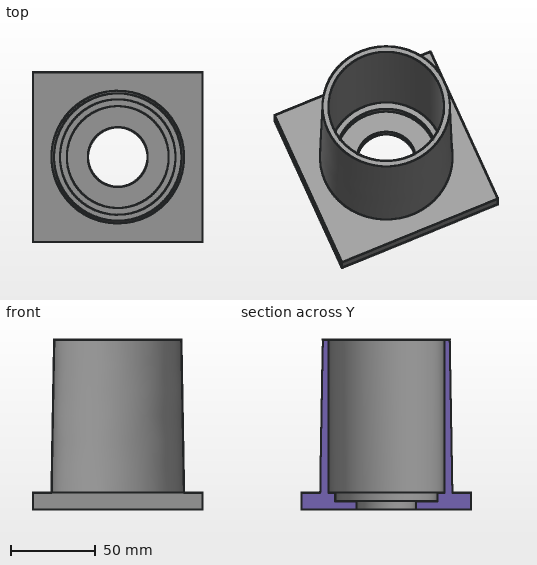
import cadquery as cq
import math

plate_side = 100.0
plate_thickness = 10.0

total_height = 100.0
sleeve_height = total_height - plate_thickness
sleeve_top_diameter = 75.0
draft_angle = 1.0
sleeve_bottom_diameter = sleeve_top_diameter + 2 * sleeve_height * math.tan(math.radians(draft_angle))

bore_diameter = 68.0
recess_diameter = 60.0
through_hole_diameter = 35.0
recess_depth = plate_thickness / 2


def base_plate():
    return cq.Workplane("XY").box(plate_side, plate_side, plate_thickness, centered=(True, True, False))


def tapered_sleeve():
    return (
        cq.Workplane("XY")
        .workplane(offset=plate_thickness)
        .circle(sleeve_bottom_diameter / 2)
        .workplane(offset=sleeve_height)
        .circle(sleeve_top_diameter / 2)
        .loft(ruled=True)
    )


def round_cut(diameter, floor_height):
    """Vertical cylinder from floor_height up to the open top of the sleeve."""
    floor = cq.Workplane("XY").workplane(offset=floor_height)
    return floor.circle(diameter / 2).extrude(total_height - floor_height)


bore_steps = [
    (bore_diameter, plate_thickness),
    (recess_diameter, plate_thickness - recess_depth),
    (through_hole_diameter, 0.0),
]

result = base_plate().union(tapered_sleeve())
for diameter, floor_height in bore_steps:
    result = result.cut(round_cut(diameter, floor_height))